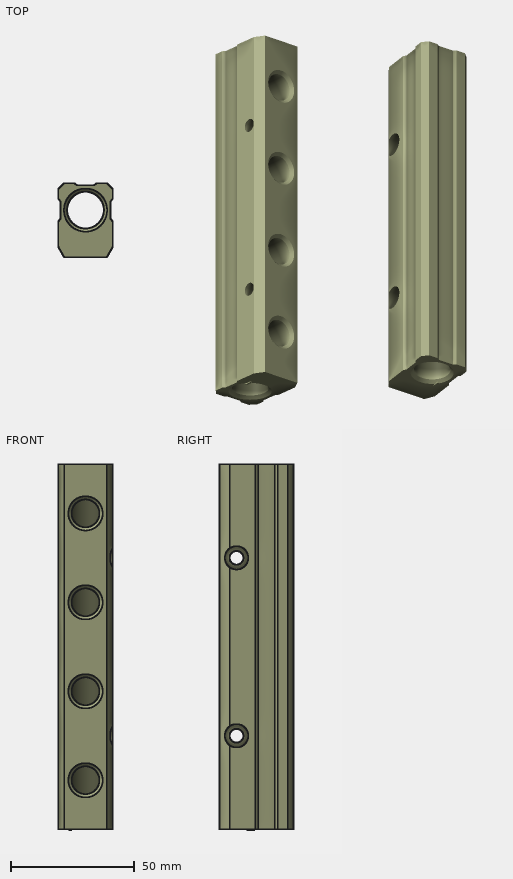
import cadquery as cq

length = 148.0
width = 22.0
depth = 30.0
half_width = width / 2
back = 11.0
front = back - depth

back_chamfer = 2.4
front_chamfer_x = 2.4
front_chamfer_y = 4.1

groove_depth = 0.9
groove_mouth = 9.2
groove_floor = 6.8

bore_diameter = 14.8
port_diameter = 11.2
lead_in = 1.3
port_pitch = 36.0
port_count = 4

mount_diameter = 5.5
mount_y = front + 7.0
mount_pitch = 2 * port_pitch
mount_count = 2
counterbore_diameter = 9.5
counterbore_depth = 5.9

pad_size_x = 0.9
pad_size_y = 3.0
pad_height = 0.3
pad_x = -6.2
pad_y = -6.4


def row_positions(count, pitch):
    """Heights of evenly spaced features centred on the middle of the bar."""
    return [(i - (count - 1) / 2) * pitch for i in range(count)]


def bar():
    mouth = groove_mouth / 2
    floor = groove_floor / 2
    right_half = [
        (half_width - front_chamfer_x, front),
        (half_width, front + front_chamfer_y),
        (half_width, -mouth),
        (half_width - groove_depth, -floor),
        (half_width - groove_depth, floor),
        (half_width, mouth),
        (half_width, back - back_chamfer),
        (half_width - back_chamfer, back),
        (mouth, back),
        (floor, back - groove_depth),
    ]
    left_half = [(-x, y) for x, y in reversed(right_half)]
    body_length = length - pad_height
    outline = cq.Workplane("XY").polyline(right_half + left_half).close()
    return outline.extrude(body_length / 2, both=True)


def cylinder(diameter, start, direction, reach):
    return cq.Workplane(cq.Solid.makeCylinder(diameter / 2, reach, start, direction))


def lead_in_cone(diameter, start, direction):
    radius = diameter / 2
    return cq.Workplane(cq.Solid.makeCone(radius + lead_in, radius, lead_in, start, direction))


up = cq.Vector(0, 0, 1)
inward = cq.Vector(0, 1, 0)
toward_left = cq.Vector(-1, 0, 0)

result = bar()
end_z = (length - pad_height) / 2

result = result.cut(cylinder(bore_diameter, cq.Vector(0, 0, -end_z), up, 2 * end_z))
result = result.cut(lead_in_cone(bore_diameter, cq.Vector(0, 0, -end_z), up))
result = result.cut(lead_in_cone(bore_diameter, cq.Vector(0, 0, end_z), -up))

for z in row_positions(port_count, port_pitch):
    start = cq.Vector(0, front, z)
    result = result.cut(cylinder(port_diameter, start, inward, -front))
    result = result.cut(lead_in_cone(port_diameter, start, inward))

for z in row_positions(mount_count, mount_pitch):
    start = cq.Vector(half_width, mount_y, z)
    result = result.cut(cylinder(mount_diameter, start, toward_left, width))
    result = result.cut(cylinder(counterbore_diameter, start, toward_left, counterbore_depth))

pad = cq.Workplane("XY").box(pad_size_x, pad_size_y, 2 * pad_height)
result = result.union(pad.translate((pad_x, pad_y, -end_z)))

result = result.translate((0, 0, pad_height / 2))